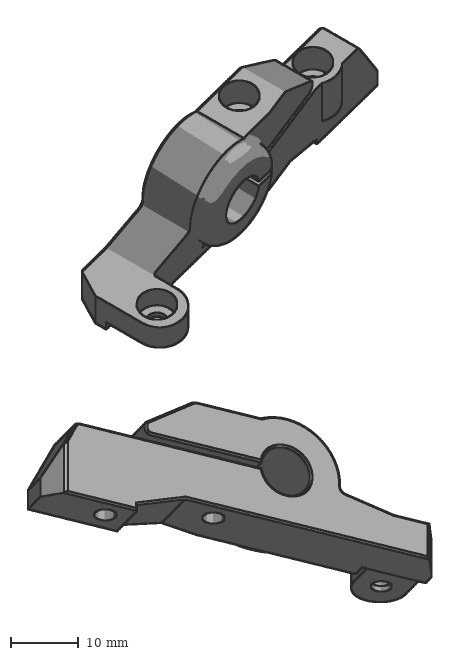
import cadquery as cq
import math


y_front = -26.3
y_back = 39.2
x_pad = 17.75
z_foot = -13.0

bore_radius = 4.0
eye_radius = 9.0
slit_half = 0.5
edge_chamfer = 0.3
bend_radius = 1.0

arm_top = 8.0
arm_slope_start = 15.12
arm_tip_y = 23.25
arm_tip_z = 2.4

z_body = -eye_radius
body_width = 9.0
foot_width = 7.0
taper_start = 10.4
taper_end = 24.1
foot_start = 24.5
foot_step = 1.0
foot_slope_start = 16.6
back_slope_y = 34.6
back_slope_z = -9.8
back_corner = 2.85

pad_width = 8.5
pad_back = y_front + pad_width
pad_screw_y = y_front + pad_width / 2
pad_top = -2.9
pad_bottom = -7.44
pad_corner_x = 4.76
pad_corner_angle = 30
pad_root_radius = 0.6
pad_slope_angle = 11

boss_radius = 8.5
boss_flare = 1.0
boss_round = 2.0

head_diameter = 6.0
foot_screw_diameter = 3.3
arm_screw_diameter = 3.3
pad_screw_diameter = 3.1
screw_x = 3.4
foot_screw_y = 28.2
arm_screw_y = 10.36
pad_screw_x = 13.0
head_depth = 5.0
pad_head_depth = 3.6
pad_clearance = 6.2
foot_lobe_radius = 4.35


def make_block(x_range, y_range, z_range):
    """Box given by its limits along each axis."""
    sizes = [high - low for low, high in (x_range, y_range, z_range)]
    corner = (x_range[0], y_range[0], z_range[0])
    return cq.Workplane("XY").box(*sizes, centered=False).translate(corner)


def make_cylinder(x, y, z_low, z_high, radius):
    """Upright cylinder."""
    return cq.Workplane("XY").workplane(offset=z_low).center(x, y).circle(radius).extrude(z_high - z_low)


def eye_slope_crossing():
    """Point (Y, Z) where the pad slope runs into the eye circle."""
    angle = math.radians(pad_slope_angle)
    along = -pad_back * math.cos(angle) - pad_top * math.sin(angle)
    nearest_sq = pad_back**2 + pad_top**2 - along**2
    length = along - math.sqrt(eye_radius**2 - nearest_sq)
    return (pad_back + length * math.cos(angle), pad_top + length * math.sin(angle))


def make_side_profile():
    """Side outline with bore and slit, extruded over the full X width."""
    bore_mouth = math.sqrt(bore_radius**2 - slit_half**2)
    eye_top_y = math.sqrt(eye_radius**2 - arm_top**2)
    eye_root = eye_slope_crossing()
    diagonal = eye_radius * math.sqrt(0.5)
    profile = (
        cq.Workplane("YZ")
        .moveTo(bore_mouth, slit_half)
        .threePointArc((-bore_radius, 0), (bore_mouth, -slit_half))
        .lineTo(back_slope_y, -slit_half)
        .lineTo(y_back, back_slope_z)
        .lineTo(y_back, z_foot)
        .lineTo(foot_start, z_foot)
        .lineTo(foot_start, z_foot + foot_step)
        .lineTo(foot_slope_start, z_body)
        .lineTo(y_front, z_body)
        .lineTo(y_front, pad_top)
        .lineTo(pad_back, pad_top)
        .lineTo(*eye_root)
        .threePointArc((-diagonal, diagonal), (eye_top_y, arm_top))
        .lineTo(arm_slope_start, arm_top)
        .lineTo(arm_tip_y, arm_tip_z)
        .lineTo(arm_tip_y, slit_half)
        .close()
        .extrude(x_pad)
    )
    middle = x_pad / 2
    rounded_bends = (
        eye_root,
        (pad_back, pad_top),
        (arm_tip_y, slit_half),
        (arm_tip_y, arm_tip_z),
        (arm_slope_start, arm_top),
        (back_slope_y, -slit_half),
    )
    for bend in rounded_bends:
        bend_edge = cq.NearestToPointSelector((middle, *bend))
        profile = profile.edges(bend_edge).fillet(bend_radius)
    return profile


def make_plan():
    """Outline seen along Z: tapered body, cut corners and rounded pad."""
    pad_radius = pad_width / 2
    pad_corner_y = pad_corner_x * math.tan(math.radians(pad_corner_angle))
    plan = (
        cq.Workplane("XY")
        .workplane(offset=z_foot)
        .moveTo(0, y_front + pad_corner_y)
        .lineTo(pad_corner_x, y_front)
        .lineTo(x_pad - pad_radius, y_front)
        .threePointArc((x_pad, y_front + pad_radius), (x_pad - pad_radius, pad_back))
        .lineTo(body_width, pad_back)
        .lineTo(body_width, taper_start)
        .lineTo(foot_width, taper_end)
        .lineTo(foot_width, y_back)
        .lineTo(back_corner, y_back)
        .lineTo(0, y_back - back_corner)
        .close()
        .extrude(eye_radius - z_foot)
    )
    root = cq.NearestToPointSelector((body_width, pad_back, (eye_radius + z_foot) / 2))
    return plan.edges(root).fillet(pad_root_radius)


def make_boss():
    """Round boss on the bore axis with a flared root, rounded rim and flat underside."""
    flare_end = body_width + boss_flare
    boss_end = flare_end + boss_round
    bend = 1 - math.sqrt(0.5)
    boss = (
        cq.Workplane("XY")
        .moveTo(body_width, 0)
        .lineTo(body_width, boss_radius + boss_flare)
        .threePointArc(
            (body_width + bend * boss_flare, boss_radius + bend * boss_flare),
            (flare_end, boss_radius),
        )
        .threePointArc(
            (boss_end - bend * boss_round, boss_radius - bend * boss_round),
            (boss_end, boss_radius - boss_round),
        )
        .lineTo(boss_end, 0)
        .close()
        .revolve(360, (0, 0, 0), (1, 0, 0))
    )
    root_radius = boss_radius + boss_flare
    below_flat = make_block(
        (body_width, boss_end), (-root_radius, root_radius), (-root_radius, pad_bottom)
    )
    return boss.cut(below_flat)


def make_foot_lobe():
    """Half-round thickening beside the foot screw."""
    lobe = make_cylinder(screw_x, foot_screw_y, z_body, -slit_half, foot_lobe_radius)
    outer_half = make_block(
        (screw_x, x_pad),
        (foot_screw_y - foot_lobe_radius, foot_screw_y + foot_lobe_radius),
        (z_body, -slit_half),
    )
    return lobe.intersect(outer_half)


def make_pad_clearance():
    """Space under the pad for the far end of its screw."""
    return make_block(
        (pad_screw_x - pad_clearance, x_pad),
        (y_front, pad_screw_y + pad_clearance),
        (z_body, pad_bottom),
    )


def make_screw_hole(x, y, top, diameter, depth):
    """Through hole with a head pocket sunk from the given top level."""
    shank = make_cylinder(x, y, z_foot, top, diameter / 2)
    head = make_cylinder(x, y, top - depth, top, head_diameter / 2)
    return shank.union(head)


side_profile = make_side_profile()
body = make_plan().intersect(side_profile)
body = body.faces("<X").edges().chamfer(edge_chamfer)
body = body.union(make_boss().intersect(side_profile))
body = body.union(make_foot_lobe()).cut(make_pad_clearance())

screw_holes = (
    (screw_x, foot_screw_y, -slit_half, foot_screw_diameter, head_depth),
    (screw_x, arm_screw_y, arm_top, arm_screw_diameter, head_depth),
    (pad_screw_x, pad_screw_y, pad_top, pad_screw_diameter, pad_head_depth),
)
for hole in screw_holes:
    body = body.cut(make_screw_hole(*hole))

result = body